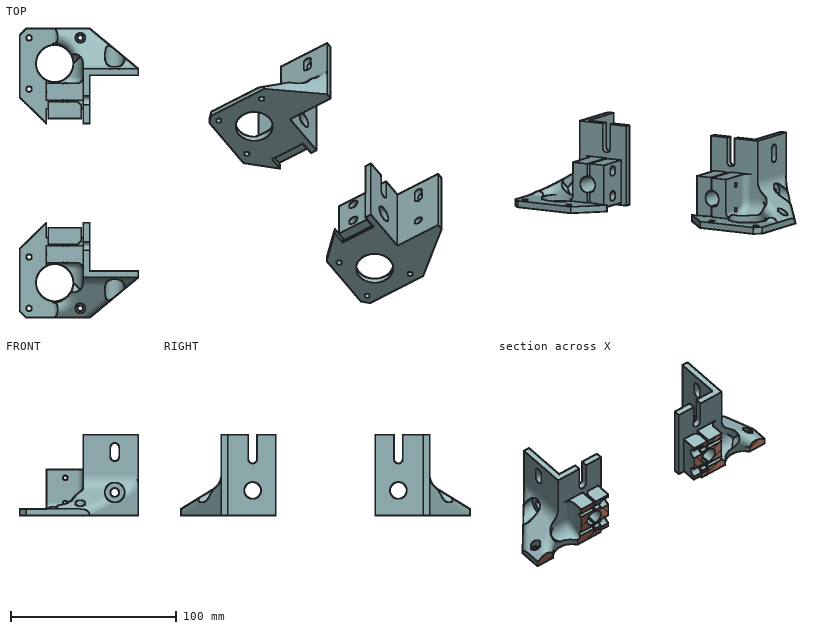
import cadquery as cq
import math


PLATE_HALF = 21.2
PLATE_THICKNESS = 4.0
PLATE_SIDE_END = 20.5
CORNER_CHAMFER = 4.0
MOTOR_HOLE_RADIUS = 22.4 / 2
SCREW_SPACING = 31.0
SCREW_HOLE_DIAMETER = 3.2
SCREW_HEAD_DIAMETER = 6.0
PAIR_LENGTH = 174.9

WALL_THICKNESS = 4.0
WALL_HEIGHT = 49.0
WALL_RIGHT = PLATE_HALF
WALL_LEFT = WALL_RIGHT - WALL_THICKNESS
WALL_END = 36.3
ARM_FRONT = 3.2
ARM_BACK = ARM_FRONT + WALL_THICKNESS
ARM_END = 50.6

SLOT_WIDTH = 5.2
OPEN_SLOT_BOTTOM = 34.2
ARM_SLOT_X = 36.3
ARM_SLOT_BOTTOM = 35.6
ARM_SLOT_TOP = 41.2
BOLT_HEIGHT = 14.0
BOLT_SEAT_DIAMETER = 12.0

GUSSET_LEFT = -1.1
GUSSET_END_RADIUS = 3.0
GUSSET_VERTEX_HEIGHT = 19.0
GUSSET_BLEND_RADIUS = 10.0
GUSSET_EDGE_RADIUS = 6.0
HOLE_EDGE_RADIUS = 5.0
BOWL_FOOT_RADIUS = 9.0
BOWL_FRONT = -5.9
BOWL_CORNER_RADIUS = 6.0

BLOCK_LEFT = -5.0
BLOCK_FRONT = 12.1
BLOCK_BACK = 22.2
BLOCK_HEIGHT = 28.0
BLOCK_FILLET_RADIUS = 4.0
ROD_DIAMETER = 10.0
ROD_Y = BLOCK_BACK
ROD_HEIGHT = 15.2
NOTCH_FRONT = 27.4
CLAMP_GAP = 1.0
CLAMP_CLEARANCE = 1.0
CLAMP_DEPTH = 10.1
CLAMP_BOTTOM = 1.7
CLAMP_CHAMFER = 2.2
CLAMP_SCREW_X = 6.4
CLAMP_SCREW_SPACING = 15.3
TAPPED_HOLE_DIAMETER = 2.53
CLAMP_HEAD_DEPTH = 6.0

CUT_MARGIN = 1.0


def box(x_min, x_max, y_min, y_max, z_min, z_max):
    size = (x_max - x_min, y_max - y_min, z_max - z_min)
    return cq.Workplane("XY").box(*size, centered=False).translate((x_min, y_min, z_min))


def cylinder_along_y(x, z, diameter, y_min, y_max):
    circle = cq.Workplane("XZ", origin=(x, y_min, z)).circle(diameter / 2)
    return circle.extrude(-(y_max - y_min))


def rod_bore():
    bore = cq.Workplane("YZ", origin=(BLOCK_LEFT - CUT_MARGIN, ROD_Y, ROD_HEIGHT))
    return bore.circle(ROD_DIAMETER / 2).extrude(WALL_RIGHT - BLOCK_LEFT + 2 * CUT_MARGIN)


def clamp_screw_heights():
    return [ROD_HEIGHT + side * CLAMP_SCREW_SPACING / 2 for side in (-1, 1)]


def base_plate():
    """Flat plate, apart from the front right part, which belongs to the gusset."""
    outline = [
        (-PLATE_HALF, -PLATE_HALF + CORNER_CHAMFER),
        (-PLATE_HALF + CORNER_CHAMFER, -PLATE_HALF),
        (MOTOR_HOLE_RADIUS, -PLATE_HALF),
        (MOTOR_HOLE_RADIUS, ARM_FRONT),
        (WALL_RIGHT, ARM_FRONT),
        (WALL_RIGHT, NOTCH_FRONT),
        (BLOCK_LEFT, NOTCH_FRONT),
        (BLOCK_LEFT, WALL_END),
        (-PLATE_HALF, PLATE_SIDE_END),
    ]
    return cq.Workplane("XY").polyline(outline).close().extrude(PLATE_THICKNESS)


def walls():
    side_wall = box(WALL_LEFT, WALL_RIGHT, ARM_FRONT, WALL_END, 0, WALL_HEIGHT)
    arm = box(WALL_LEFT, ARM_END, ARM_FRONT, ARM_BACK, 0, WALL_HEIGHT)
    return side_wall.union(arm)


def gusset():
    """Wedge sloping from the arm to the plate edge, blended into the arm by a large arc."""
    slope = math.atan2(GUSSET_VERTEX_HEIGHT - PLATE_THICKNESS, ARM_FRONT + PLATE_HALF)
    turn = math.pi / 2 - slope
    tangent_length = GUSSET_BLEND_RADIUS * math.tan(turn / 2)
    blend_top = (ARM_FRONT, GUSSET_VERTEX_HEIGHT + tangent_length)
    center = (ARM_FRONT - GUSSET_BLEND_RADIUS, blend_top[1])

    def on_blend(angle):
        return (center[0] + GUSSET_BLEND_RADIUS * math.cos(angle),
                center[1] - GUSSET_BLEND_RADIUS * math.sin(angle))

    wedge = (
        cq.Workplane("YZ", origin=(GUSSET_LEFT, 0, 0))
        .moveTo(-PLATE_HALF, 0)
        .lineTo(-PLATE_HALF, PLATE_THICKNESS)
        .lineTo(*on_blend(turn))
        .threePointArc(on_blend(turn / 2), blend_top)
        .lineTo(ARM_FRONT, 0)
        .close()
        .extrude(ARM_END - GUSSET_LEFT)
    )
    run_x = ARM_END - PLATE_HALF
    run_y = ARM_FRONT + PLATE_HALF
    footprint = (
        cq.Workplane("XY")
        .polyline([(GUSSET_LEFT, -PLATE_HALF), (PLATE_HALF, -PLATE_HALF),
                   (ARM_END, ARM_FRONT), (GUSSET_LEFT, ARM_FRONT)])
        .close()
        .extrude(WALL_HEIGHT)
    )
    wedge = wedge.intersect(footprint)
    diagonal_side = wedge.faces(cq.selectors.DirectionMinMaxSelector(cq.Vector(run_y, -run_x, 0)))
    sloped_edge = diagonal_side.edges("%LINE").edges("not(|X or |Y or |Z)").edges(">Z")
    wedge = sloped_edge.fillet(GUSSET_EDGE_RADIUS)
    motor_clearance = cq.Workplane("XY").circle(MOTOR_HOLE_RADIUS).extrude(WALL_HEIGHT)
    wedge = wedge.cut(motor_clearance)
    near_hole = cq.selectors.BoxSelector(
        (GUSSET_LEFT, -MOTOR_HOLE_RADIUS, PLATE_THICKNESS), (MOTOR_HOLE_RADIUS, ARM_FRONT, WALL_HEIGHT))
    return wedge.edges("not |Z").edges(near_hole).fillet(HOLE_EDGE_RADIUS)


def gusset_end_cut():
    """Concave ramp from the plate up to the left end of the gusset."""
    end = GUSSET_LEFT + GUSSET_END_RADIUS
    height = PLATE_THICKNESS + GUSSET_END_RADIUS
    ramp = cylinder_along_y(GUSSET_LEFT, height, 2 * GUSSET_END_RADIUS, -PLATE_HALF, ARM_FRONT)
    return ramp.union(box(GUSSET_LEFT, end, -PLATE_HALF, ARM_FRONT, height, WALL_HEIGHT))


def foot_section(plane, wall_position, reach):
    """Clear space on one side of an upright face, above a foot that curves out onto the plate."""
    foot_edge = wall_position - math.copysign(BOWL_FOOT_RADIUS, wall_position)
    foot_top = PLATE_THICKNESS + BOWL_FOOT_RADIUS
    return (
        cq.Workplane(plane)
        .moveTo(wall_position, foot_top)
        .radiusArc((foot_edge, PLATE_THICKNESS), math.copysign(BOWL_FOOT_RADIUS, wall_position))
        .lineTo(reach, PLATE_THICKNESS)
        .lineTo(reach, WALL_HEIGHT)
        .lineTo(wall_position, WALL_HEIGHT)
        .close()
    )


def bowl():
    """Clear space in the corner of wall, rod block and gusset, with rounded feet and corner."""
    beside_wall = foot_section("XZ", WALL_LEFT, -WALL_LEFT).extrude(BLOCK_FRONT, both=True)
    beside_wall = beside_wall.faces(">Y").edges("not(>Z or <X)").fillet(BLOCK_FILLET_RADIUS)
    behind_gusset = foot_section("YZ", BOWL_FRONT, BLOCK_FRONT).extrude(WALL_LEFT, both=True)
    rounded_corner = box(-WALL_LEFT, WALL_LEFT, BOWL_FRONT, BLOCK_FRONT, 0, WALL_HEIGHT)
    rounded_corner = rounded_corner.edges("|Z and >X and <Y").fillet(BOWL_CORNER_RADIUS)
    return beside_wall.intersect(behind_gusset).intersect(rounded_corner)


def plate_holes():
    motor_hole = cq.Workplane("XY").circle(MOTOR_HOLE_RADIUS).extrude(BLOCK_HEIGHT)
    screw_places = [(-SCREW_SPACING / 2, -SCREW_SPACING / 2),
                    (-SCREW_SPACING / 2, SCREW_SPACING / 2),
                    (SCREW_SPACING / 2, -SCREW_SPACING / 2)]
    screws = cq.Workplane("XY").pushPoints(screw_places).circle(SCREW_HOLE_DIAMETER / 2)
    head = cq.Workplane("XY", origin=(SCREW_SPACING / 2, -SCREW_SPACING / 2, PLATE_THICKNESS))
    head = head.circle(SCREW_HEAD_DIAMETER / 2).extrude(GUSSET_VERTEX_HEIGHT)
    return motor_hole.union(screws.extrude(PLATE_THICKNESS)).union(head)


def wall_openings():
    open_slot = box(WALL_LEFT, WALL_RIGHT, ROD_Y - SLOT_WIDTH / 2, ROD_Y + SLOT_WIDTH / 2,
                    OPEN_SLOT_BOTTOM, WALL_HEIGHT)
    open_slot_end = (
        cq.Workplane("YZ", origin=(WALL_LEFT, ROD_Y, OPEN_SLOT_BOTTOM))
        .circle(SLOT_WIDTH / 2)
        .extrude(WALL_THICKNESS)
    )
    arm_slot = box(ARM_SLOT_X - SLOT_WIDTH / 2, ARM_SLOT_X + SLOT_WIDTH / 2, ARM_FRONT, ARM_BACK,
                   ARM_SLOT_BOTTOM, ARM_SLOT_TOP)
    for height in (ARM_SLOT_BOTTOM, ARM_SLOT_TOP, BOLT_HEIGHT):
        arm_slot = arm_slot.union(
            cylinder_along_y(ARM_SLOT_X, height, SLOT_WIDTH, ARM_FRONT, ARM_BACK))
    bolt_seat = cylinder_along_y(ARM_SLOT_X, BOLT_HEIGHT, BOLT_SEAT_DIAMETER, -PLATE_HALF, ARM_FRONT)
    return open_slot.union(open_slot_end).union(arm_slot).union(bolt_seat)


def block_holes():
    holes = rod_bore()
    for height in clamp_screw_heights():
        hole = cylinder_along_y(CLAMP_SCREW_X, height, TAPPED_HOLE_DIAMETER, 0, BLOCK_BACK)
        holes = holes.union(hole)
    return holes


def bracket():
    """One bracket: gusset, rod block, plate and walls as a single solid with all its holes."""
    rod_block = box(BLOCK_LEFT, WALL_LEFT, ARM_FRONT, BLOCK_BACK, 0, BLOCK_HEIGHT)
    body = gusset().cut(gusset_end_cut()).union(rod_block).cut(bowl())
    for piece in (base_plate(), walls()):
        body = body.union(piece)
    return body.cut(plate_holes()).cut(wall_openings()).cut(block_holes())


def clamp():
    """Loose clamp half whose lower lip hooks over the notched edge of the plate."""
    left = BLOCK_LEFT + CLAMP_CLEARANCE
    right = WALL_LEFT - CLAMP_CLEARANCE
    front = BLOCK_BACK + CLAMP_GAP
    back = front + CLAMP_DEPTH
    outline = [
        (left, front),
        (right - CLAMP_CHAMFER, front),
        (right, front + CLAMP_CHAMFER),
        (right, back),
        (left, back),
    ]
    body = (
        cq.Workplane("XY", origin=(0, 0, CLAMP_BOTTOM))
        .polyline(outline)
        .close()
        .extrude(BLOCK_HEIGHT - CLAMP_BOTTOM)
    )
    body = body.cut(box(left, right, front, NOTCH_FRONT, 0, PLATE_THICKNESS)).cut(rod_bore())
    for height in clamp_screw_heights():
        screw = cylinder_along_y(CLAMP_SCREW_X, height, SCREW_HOLE_DIAMETER, front, back)
        head = cylinder_along_y(CLAMP_SCREW_X, height, SCREW_HEAD_DIAMETER, back - CLAMP_HEAD_DEPTH, back)
        body = body.cut(screw).cut(head)
    return body


pair_offset = PLATE_HALF - PAIR_LENGTH / 2
near_bracket = bracket().translate((0, pair_offset, 0))
near_clamp = clamp().translate((0, pair_offset, 0))
far_bracket = near_bracket.mirror("XZ")
far_clamp = near_clamp.mirror("XZ")

result = cq.Compound.makeCompound([
    near_bracket.val(),
    near_clamp.val(),
    far_bracket.val(),
    far_clamp.val(),
])